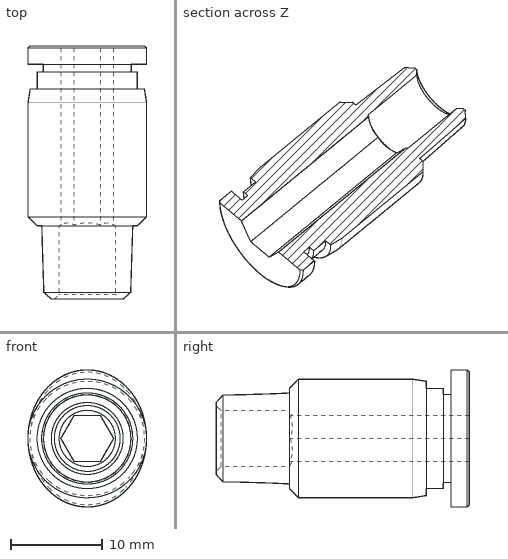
import cadquery as cq
import math

length = 27.7
nose_chamfer_end = 0.75
spigot_end = 8.0
shoulder_chamfer_end = 9.0
body_taper_start = 21.5
body_end = 23.0
ring_end = 24.85
flange_start = 25.68

nose_radius = 3.93
spigot_tip_radius = 4.76
spigot_root_radius = 4.99
shoulder_radius = 5.48
body_diameter = 13.0
body_radius = body_diameter / 2
body_end_radius = 6.25
ring_radius = 5.48
neck_radius = 4.82

flange_half_width = body_radius
flange_half_height = 7.5
flange_chamfer = 0.25

bore_radius = 3.07
bore_depth = spigot_end
countersink_radius = 3.6
countersink_depth = countersink_radius - bore_radius
hex_across_flats = 4.99
hex_sides = 6
hex_across_corners = hex_across_flats / math.cos(math.pi / hex_sides)
drill_tip_half_angle = math.radians(60)


def revolve_profile(points):
    """Revolve (radius, station) points about the Y axis."""
    return cq.Workplane("XY").polyline(points).close().revolve(360, (0, 0, 0), (0, 1, 0))


def plane_at(station):
    """Workplane across the axis, facing +Y, at the given station."""
    return cq.Workplane(cq.Plane(origin=(0, station, 0), xDir=(1, 0, 0), normal=(0, 1, 0)))


def make_turned_body():
    return revolve_profile([
        (0, 0),
        (nose_radius, 0),
        (spigot_tip_radius, nose_chamfer_end),
        (spigot_root_radius, spigot_end),
        (shoulder_radius, spigot_end),
        (body_radius, shoulder_chamfer_end),
        (body_radius, body_taper_start),
        (body_end_radius, body_end),
        (ring_radius, body_end),
        (ring_radius, ring_end),
        (neck_radius, ring_end),
        (neck_radius, flange_start),
        (0, flange_start),
    ])


def make_flange():
    """Oval release collar, taller than wide, chamfered on its outer face."""
    flange = plane_at(flange_start).ellipse(flange_half_width, flange_half_height)
    flange = flange.extrude(length - flange_start)
    return flange.faces(">Y").edges().chamfer(flange_chamfer)


def make_round_bore():
    """Countersunk bore from the nose, ending in a conical drill tip."""
    tip_depth = bore_radius / math.tan(drill_tip_half_angle)
    return revolve_profile([
        (0, 0),
        (countersink_radius, 0),
        (bore_radius, countersink_depth),
        (bore_radius, bore_depth),
        (0, bore_depth + tip_depth),
    ])


def make_hex_passage():
    """Hexagonal through passage with its corners on the X axis."""
    return plane_at(0).polygon(hex_sides, hex_across_corners).extrude(length)


fitting = make_turned_body().union(make_flange())
fitting = fitting.cut(make_round_bore()).cut(make_hex_passage())

result = fitting.translate((0, -length / 2, 0))